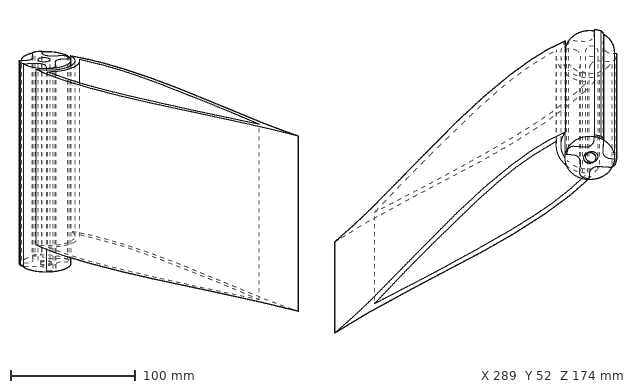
import cadquery as cq
import math

TOTAL_HEIGHT = 174.0
WING_HEIGHT = 150.0
WING_BOTTOM = TOTAL_HEIGHT - WING_HEIGHT

DRUM_RADIUS = 20.0
DRUM_CENTER = (DRUM_RADIUS, 0.43)
BASE_THICKNESS = 0.5
BORE_RADIUS = 5.0

ROTOR_CENTER = (18.2, 0)
ROTOR_RADIUS = 20.2
VANE_COUNT = 4

VALLEY_X = 8.5
VALLEY_Y = 6.5
VALLEY_RADIUS = 6.6
TIP_EDGE_X = 18.0
TIP_BEND_RADIUS = 3.5
CHANNEL_OVERRUN = 5.8

CHORD_END = 289.0
OUTER_PROFILE = [
    (23.0, 19.6),
    (44.5, 24.3),
    (72.2, 26.0),
    (129.0, 22.5),
    (190.7, 13.3),
    (254.3, 3.5),
    (CHORD_END, 0),
]
FRONT_CAVITY_PROFILE = [(34.7, 18.8), (52.3, 20.8), (72.2, 22.0), (98.2, 21.0)]
REAR_CAVITY_PROFILE = [(121.5, 19.0), (181.2, 11.0), (247.0, 0)]

NOSE_CENTER = (22.0, 0)
NOSE_RADIUS = 22.0
NOSE_WALL = 3.8


def cylinder(center, radius, bottom, top):
    return cq.Workplane("XY", origin=(*center, bottom)).circle(radius).extrude(top - bottom)


def mirrored(points):
    """Points reflected in the XZ plane and taken in reverse order."""
    return [(x, -y) for x, y in reversed(points)]


def wing_blank():
    outline = (
        cq.Workplane("XY", origin=(0, 0, WING_BOTTOM))
        .moveTo(*OUTER_PROFILE[0])
        .spline(OUTER_PROFILE[1:], includeCurrent=True)
        .spline(mirrored(OUTER_PROFILE)[1:], includeCurrent=True)
        .close()
    )
    return outline.extrude(WING_HEIGHT)


def wing_cavity():
    """Through cavity whose sides have a flat stretch between the front and rear curves."""
    front = FRONT_CAVITY_PROFILE
    rear = REAR_CAVITY_PROFILE
    outline = (
        cq.Workplane("XY", origin=(0, 0, WING_BOTTOM))
        .moveTo(*front[0])
        .spline(front[1:], includeCurrent=True)
        .lineTo(*rear[0])
        .spline(rear[1:], includeCurrent=True)
        .spline(mirrored(rear)[1:], includeCurrent=True)
        .lineTo(*mirrored(front)[0])
        .spline(mirrored(front)[1:], includeCurrent=True)
        .close()
    )
    nose_wall = cylinder(NOSE_CENTER, NOSE_RADIUS + NOSE_WALL, WING_BOTTOM, TOTAL_HEIGHT)
    return outline.extrude(WING_HEIGHT).cut(nose_wall)


def make_wing():
    nose_clearance = cylinder(NOSE_CENTER, NOSE_RADIUS, WING_BOTTOM, TOTAL_HEIGHT)
    return wing_blank().cut(nose_clearance).cut(wing_cavity())


def vane_channel():
    """Cutter for the +X channel: a rounded valley, a 45 degree flank and a bend to the vane tip."""
    diagonal = math.sqrt(0.5)
    valley_center_x = VALLEY_X + VALLEY_RADIUS
    valley_end_x = valley_center_x - VALLEY_RADIUS * diagonal
    valley_top_y = VALLEY_Y + VALLEY_RADIUS * diagonal
    valley_low_y = VALLEY_Y - VALLEY_RADIUS * diagonal

    bend_center_x = TIP_EDGE_X - TIP_BEND_RADIUS
    bend_start_x = bend_center_x + TIP_BEND_RADIUS * diagonal
    bend_start_y = valley_end_x + valley_low_y - bend_start_x
    bend_center_y = bend_start_y - TIP_BEND_RADIUS * diagonal
    bend_mid = (
        bend_center_x + TIP_BEND_RADIUS * math.cos(math.pi / 8),
        bend_center_y + TIP_BEND_RADIUS * math.sin(math.pi / 8),
    )

    outside_x = ROTOR_RADIUS + CHANNEL_OVERRUN
    lead_in = outside_x - valley_end_x
    return (
        cq.Workplane("XY", origin=(*ROTOR_CENTER, BASE_THICKNESS))
        .moveTo(outside_x, valley_top_y + lead_in)
        .lineTo(valley_end_x, valley_top_y)
        .threePointArc((VALLEY_X, VALLEY_Y), (valley_end_x, valley_low_y))
        .lineTo(bend_start_x, bend_start_y)
        .threePointArc(bend_mid, (TIP_EDGE_X, bend_center_y))
        .lineTo(TIP_EDGE_X, bend_center_y - CHANNEL_OVERRUN)
        .lineTo(outside_x, bend_center_y - CHANNEL_OVERRUN)
        .close()
        .extrude(TOTAL_HEIGHT - BASE_THICKNESS)
    )


def rotor_blank():
    """Vaned rotor before it is bored."""
    blank = cylinder(ROTOR_CENTER, ROTOR_RADIUS, BASE_THICKNESS, TOTAL_HEIGHT)
    channel = vane_channel()
    axis_start = (*ROTOR_CENTER, 0)
    axis_end = (*ROTOR_CENTER, 1)
    for index in range(VANE_COUNT):
        blank = blank.cut(channel.rotate(axis_start, axis_end, index * 360 / VANE_COUNT))
    return blank


def make_rotor():
    bore = cylinder(ROTOR_CENTER, BORE_RADIUS, BASE_THICKNESS, TOTAL_HEIGHT)
    return rotor_blank().cut(bore)


def make_drum():
    """Bored drum: a thin base carrying the four segments that fill the rotor channels."""
    drum = cylinder(DRUM_CENTER, DRUM_RADIUS, 0, TOTAL_HEIGHT)
    bore = cylinder(DRUM_CENTER, BORE_RADIUS, 0, TOTAL_HEIGHT)
    return drum.cut(bore).cut(rotor_blank())


wing = make_wing()
rotor = make_rotor()
drum = make_drum()

result = cq.Compound.makeCompound([wing.solids().val(), rotor.solids().val(), drum.solids().val()])